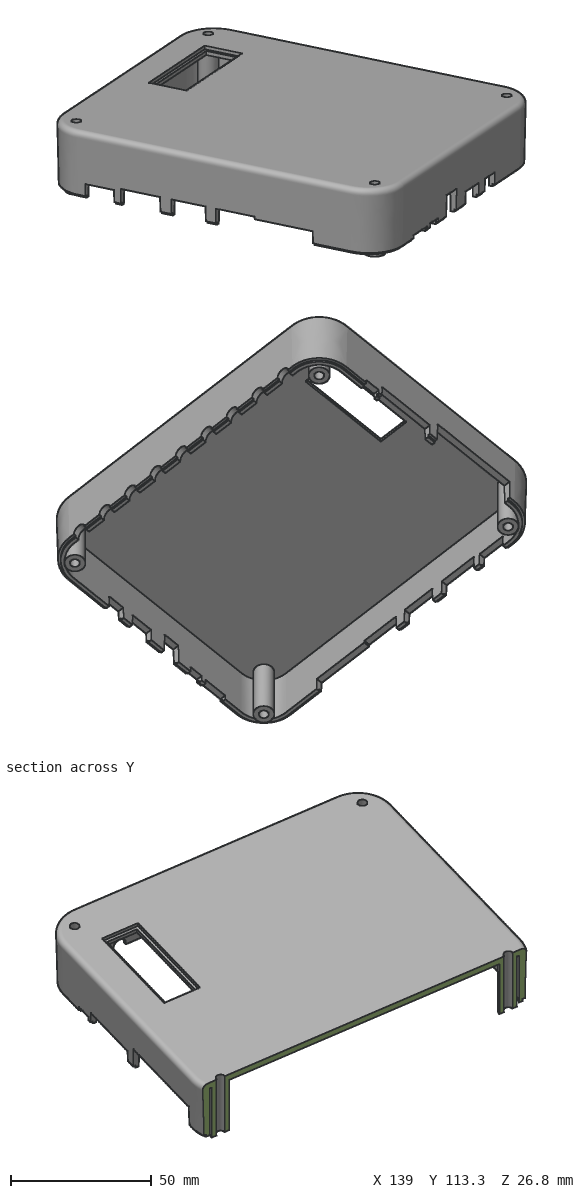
import cadquery as cq
import math

LENGTH = 139.0
WIDTH = 113.3
HEIGHT = 26.8
CORNER_RADIUS = 14.0
WALL = 2.9
ROOF = 2.9
TOP_FILLET = 2.2
BAND_HEIGHT = 0.3
WALL_DRAFT = 1.3

LIP_BOTTOM = 1.5
WALL_BOTTOM = 2.5
LIP_INSET = 1.0
DRAFT_TOP = HEIGHT - TOP_FILLET - BAND_HEIGHT
WALL_LEAN = (DRAFT_TOP - WALL_BOTTOM) * math.tan(math.radians(WALL_DRAFT))

BOSS_X = 60.7
BOSS_Y = 48.0
BOSS_DIAMETER = 7.5
SCREW_DIAMETER = 3.5

WINDOW_X = -48.5
WINDOW_Y = 16.8
WINDOW_LENGTH = 12.6
WINDOW_WIDTH = 38.2
RECESS_BORDER = 1.3
RECESS_DEPTH = 1.4

FRONT_CUTOUTS = [
    (-52.4, -40.9, 7.1),
    (-38.0, -22.1, 8.0),
    (-17.4, -3.6, 8.0),
    (0.7, 16.4, 8.0),
    (0.7, 40.0, 7.1),
]
LEFT_CUTOUTS = [
    (26.1, 32.4, 4.0),
    (0.3, 24.5, 7.2),
    (-40.0, -3.6, 11.1),
]
RIGHT_CUTOUTS = [
    (17.4, 24.5, 7.2),
    (3.3, 12.6, 7.2),
    (-10.5, -3.6, 10.7),
    (-22.4, -16.8, 4.0),
    (-34.3, -24.5, 3.6),
]
CUTOUT_DRAFT = 1.5
CUTOUT_REACH = 8.3

NOTCH_COUNT = 9
NOTCH_PITCH = 12.6
NOTCH_DIAMETER = 5.1


def rounded_block(inset, bottom, top, taper=0):
    """Upright block with the shell outline moved inward by inset."""
    outline = cq.Sketch().rect(LENGTH - 2 * inset, WIDTH - 2 * inset)
    outline = outline.vertices().fillet(CORNER_RADIUS - inset)
    base = cq.Workplane(origin=(0, 0, bottom)).placeSketch(outline)
    return base.extrude(top - bottom, taper=taper)


def make_shell():
    cap = rounded_block(0, DRAFT_TOP, HEIGHT).faces(">Z").edges().fillet(TOP_FILLET)
    wall = rounded_block(WALL_LEAN, WALL_BOTTOM, DRAFT_TOP, taper=-WALL_DRAFT)
    lip = rounded_block(WALL_LEAN + LIP_INSET, LIP_BOTTOM, WALL_BOTTOM)
    cavity = rounded_block(WALL, LIP_BOTTOM, HEIGHT - ROOF)
    return cap.union(wall).union(lip).cut(cavity)


def rim_cutout(start, end, top):
    """Cutter running along Y through the origin plane, widening downward."""
    spread = top * math.tan(math.radians(CUTOUT_DRAFT))
    profile = [(start - spread, 0), (start, top), (end, top), (end + spread, 0)]
    return cq.Workplane("XZ").polyline(profile).close().extrude(CUTOUT_REACH, both=True)


def cut_front_wall(body):
    for cutout in FRONT_CUTOUTS:
        body = body.cut(rim_cutout(*cutout).translate((0, -WIDTH / 2, 0)))
    return body


def cut_side_wall(body, cutouts, wall_x):
    for cutout in cutouts:
        cutter = rim_cutout(*cutout).rotate((0, 0, 0), (0, 0, 1), 90)
        body = body.cut(cutter.translate((wall_x, 0, 0)))
    return body


def cut_back_notches(body):
    radius = NOTCH_DIAMETER / 2
    for index in range(NOTCH_COUNT):
        notch_x = (index - (NOTCH_COUNT - 1) / 2) * NOTCH_PITCH
        notch = (
            cq.Workplane("XZ", origin=(notch_x, WIDTH / 2, 0))
            .moveTo(-radius, 0)
            .lineTo(-radius, WALL_BOTTOM)
            .threePointArc((0, WALL_BOTTOM + radius), (radius, WALL_BOTTOM))
            .lineTo(radius, 0)
            .close()
            .extrude(CUTOUT_REACH, both=True)
        )
        body = body.cut(notch)
    return body


def cut_window(body):
    recess_length = WINDOW_LENGTH + 2 * RECESS_BORDER
    recess_width = WINDOW_WIDTH + 2 * RECESS_BORDER
    roof_top = cq.Workplane(origin=(WINDOW_X, WINDOW_Y, HEIGHT))
    body = body.cut(roof_top.rect(recess_length, recess_width).extrude(-RECESS_DEPTH))
    return body.cut(roof_top.rect(WINDOW_LENGTH, WINDOW_WIDTH).extrude(-ROOF))


def add_screw_bosses(body):
    centres = [(x, y) for x in (-BOSS_X, BOSS_X) for y in (-BOSS_Y, BOSS_Y)]
    posts = cq.Workplane().pushPoints(centres)
    body = body.union(posts.circle(BOSS_DIAMETER / 2).extrude(HEIGHT - ROOF / 2))
    return body.cut(posts.circle(SCREW_DIAMETER / 2).extrude(HEIGHT))


shell = make_shell()
shell = cut_front_wall(shell)
shell = cut_side_wall(shell, LEFT_CUTOUTS, -LENGTH / 2)
shell = cut_side_wall(shell, RIGHT_CUTOUTS, LENGTH / 2)
shell = cut_back_notches(shell)
shell = cut_window(shell)
result = add_screw_bosses(shell)